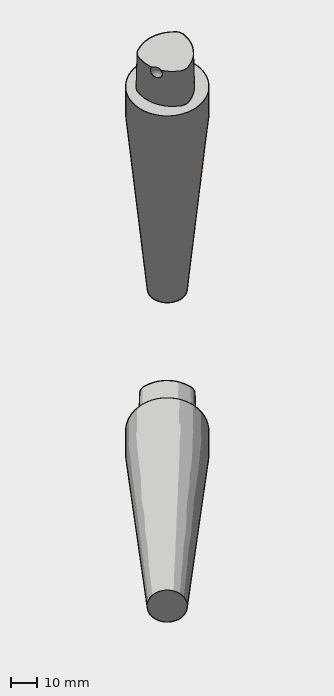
import cadquery as cq
import math

total_height = 129.0
body_diameter = 32.0
tip_diameter = 15.5
cone_height = 95.0
shank_height = 18.7
collar_top = total_height - shank_height

lobe_reach = 11.6
flank_reach = 10.0
seam_reach = 11.1
seam_angle = 13.6
taper_offset = 0.4
lobe_count = 3
first_lobe_angle = 90.0
lobe_pitch = 360.0 / lobe_count

dimple_radius = 3.2
dimple_depth_below_end = 1.8
dimple_center_offset = 1.8


def polar(radius, degrees):
    angle = math.radians(degrees)
    return radius * math.cos(angle), radius * math.sin(angle)


def lobed_outline(plane, growth):
    """Add a closed outline of alternating lobe and flank arcs."""
    seam = seam_reach + growth
    outline = plane.moveTo(*polar(seam, first_lobe_angle - seam_angle))
    for index in range(lobe_count):
        crest = first_lobe_angle + index * lobe_pitch
        outline = outline.threePointArc(
            polar(lobe_reach + growth, crest),
            polar(seam, crest + seam_angle),
        )
        outline = outline.threePointArc(
            polar(flank_reach + growth, crest + lobe_pitch / 2),
            polar(seam, crest + lobe_pitch - seam_angle),
        )
    return outline.close()


def make_body():
    """Tapered handle with a cylindrical collar."""
    return (
        cq.Workplane("XZ")
        .polyline([
            (0, 0),
            (tip_diameter / 2, 0),
            (body_diameter / 2, cone_height),
            (body_diameter / 2, collar_top),
            (0, collar_top),
        ])
        .close()
        .revolve(360, (0, 0, 0), (0, 1, 0))
    )


def make_shank():
    """Lobed shank lofted from the collar to the free end."""
    base = lobed_outline(cq.Workplane("XY").workplane(offset=collar_top), taper_offset)
    return lobed_outline(base.workplane(offset=shank_height), 0).loft(ruled=True)


def make_dimple():
    """Ball that cuts the dimple."""
    center = (0, -flank_reach - dimple_center_offset, total_height - dimple_depth_below_end)
    return cq.Workplane("XY").sphere(dimple_radius).translate(center)


result = make_body().union(make_shank()).cut(make_dimple())